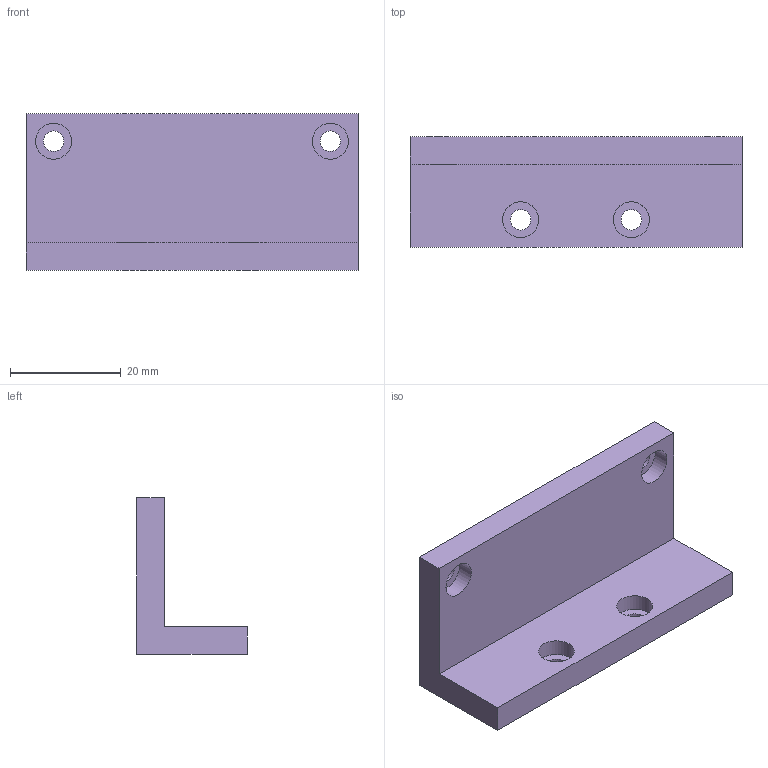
import cadquery as cq

length = 60.0
depth = 20.0
height = 28.35
thickness = 5.0

hole_diameter = 3.7
counterbore_diameter = 6.5
counterbore_depth = 3.0

wall_hole_edge_distance = 5.0
base_hole_spacing = 20.0
base_hole_front_distance = 5.0


def make_bracket():
    """L profile in the YZ plane with the wall at the back, extruded along X."""
    profile = [
        (0, 0),
        (depth, 0),
        (depth, height),
        (depth - thickness, height),
        (depth - thickness, thickness),
        (0, thickness),
    ]
    return cq.Workplane("YZ").polyline(profile).close().extrude(length)


def counterbored_hole(center, direction):
    """Cutter that starts at a face center point and runs through one plate."""
    start = cq.Vector(*center)
    axis = cq.Vector(*direction)
    through = cq.Solid.makeCylinder(hole_diameter / 2, thickness, start, axis)
    counterbore = cq.Solid.makeCylinder(counterbore_diameter / 2, counterbore_depth, start, axis)
    return through.fuse(counterbore)


def cut_wall_holes(body):
    """Holes in the upper corners of the wall, counterbored from its front face."""
    hole_z = height - wall_hole_edge_distance
    for hole_x in (wall_hole_edge_distance, length - wall_hole_edge_distance):
        body = body.cut(counterbored_hole((hole_x, depth - thickness, hole_z), (0, 1, 0)))
    return body


def cut_base_holes(body):
    """Holes along the base, counterbored from its top face."""
    for side in (-1, 1):
        hole_x = length / 2 + side * base_hole_spacing / 2
        body = body.cut(counterbored_hole((hole_x, base_hole_front_distance, thickness), (0, 0, -1)))
    return body


result = cut_base_holes(cut_wall_holes(make_bracket()))